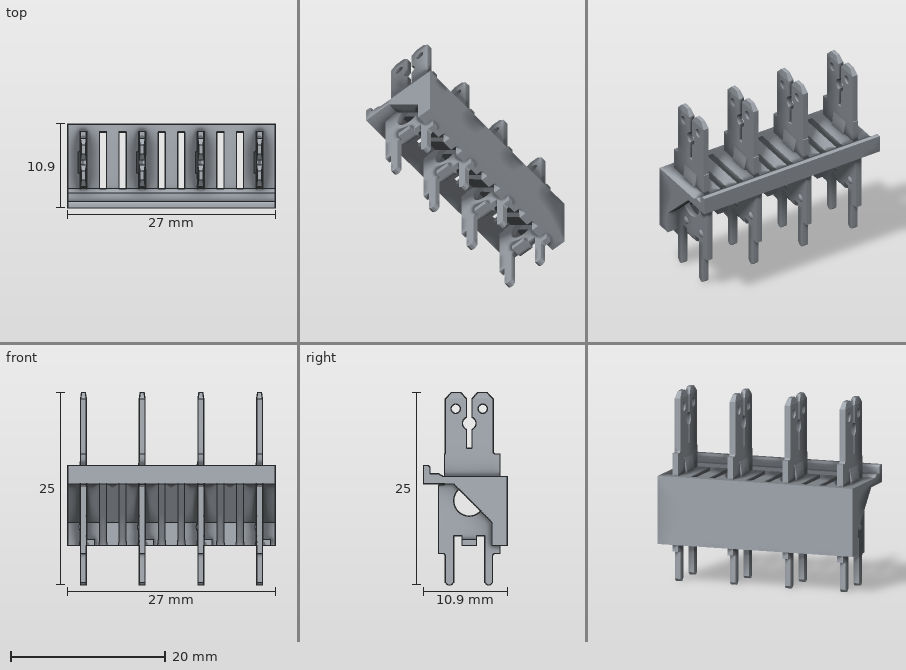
import cadquery as cq


length = 26.98
depth = 10.9
housing_top = 8.98
leg_front = 8.88
leg_top = 3.02
lip_bottom = 8.0
lip_top = 10.41
lip_thickness = 0.85
lip_corner_width = 0.45
lip_corner_height = 0.32
lip_arc_radius = 0.43
ramp_back = 3.89
step_top = 9.34
step_front = 1.95
step_back = 2.54

terminal_count = 4
slots_per_pitch = 3
row_span = 22.85
pitch = row_span / (terminal_count - 1)
slot_pitch = pitch / slots_per_pitch
slot_count = slots_per_pitch * (terminal_count - 1) + 1
slot_width = 0.9
slot_back = 9.95
slot_back_lean = 0.1
slot_mouth_width = 1.08
slot_mouth_height = 0.78

blade_thickness = 0.78
blade_middle = 5.94
blade_top = 19.88
prong_outer = 3.13
prong_gap = 0.67
prong_split_bottom = 12.65
tip_height = 0.85
tip_outer_setback = 0.84
tip_inner_setback = 0.75
tip_thickness = 0.5
keyhole_diameter = 1.73
keyhole_height = 15.86
eye_diameter = 1.2
eye_offset = 1.75
eye_height = 17.75
shoulder_top = 11.9
shoulder_back = slot_back
shoulder_front = 2.7
lower_front = 1.92
lower_top = 7.9
lower_chamfer = 0.15
lower_bottom = -1.05
corner_fillet = 0.27
window_diameter = 4.0
window_height = 5.83

tail_bottom = -5.13
tail_inner = 2.0
back_tail_outer = 3.05
tail_chamfer = 0.35
crotch_height = 1.25
tab_width = 1.9
tab_thickness = 0.78
tab_reach = 1.05

barb_top = 10.98
barb_bottom = 8.1
barb_top_width = 3.02
barb_width = 2.72
barb_rise = 0.32
dimple_diameter = 1.08
dimple_rise = 0.22
dimple_height = 2.4
dimple_places = (blade_middle + 1.08, blade_middle - 2.54)


def row(count, spacing):
    """X positions of evenly spaced items centred on X = 0."""
    return [(i - (count - 1) / 2) * spacing for i in range(count)]


def block(x_range, y_range, z_range):
    """Axis-aligned box between the given limits."""
    size = [high - low for low, high in (x_range, y_range, z_range)]
    corner = (x_range[0], y_range[0], z_range[0])
    return cq.Workplane("XY").box(*size, centered=False).translate(corner)


def side_plane(x):
    """Sketch plane facing +X, with Y across and Z up."""
    return cq.Workplane("YZ", origin=(x, 0, 0))


def slot(x):
    """Vertical slot with a sideways flared mouth below and a slightly leaning back wall."""
    half = slot_width / 2
    half_mouth = slot_mouth_width / 2
    opening = (
        cq.Workplane("XZ", origin=(x, slot_back, 0))
        .moveTo(-half_mouth, 0)
        .lineTo(half_mouth, 0)
        .lineTo(half, slot_mouth_height)
        .lineTo(half, housing_top)
        .lineTo(-half, housing_top)
        .lineTo(-half, slot_mouth_height)
        .close()
        .extrude(slot_back - step_back)
    )
    lean = (
        side_plane(x - half_mouth)
        .moveTo(slot_back, housing_top)
        .lineTo(slot_back, 0)
        .lineTo(slot_back - slot_back_lean, 0)
        .close()
        .extrude(slot_mouth_width)
    )
    return opening.cut(lean)


def make_housing():
    body = (
        side_plane(-length / 2)
        .moveTo(depth, 0)
        .lineTo(leg_front, 0)
        .lineTo(leg_front, leg_top)
        .lineTo(ramp_back, lip_bottom)
        .lineTo(0, lip_bottom)
        .lineTo(0, lip_top)
        .lineTo(lip_thickness - lip_corner_width, lip_top)
        .radiusArc((lip_thickness, lip_top - lip_corner_height), lip_arc_radius)
        .lineTo(lip_thickness, step_top)
        .lineTo(step_front, step_top)
        .lineTo(step_back, housing_top)
        .lineTo(depth, housing_top)
        .close()
        .extrude(length)
    )
    for x in row(slot_count, slot_pitch):
        body = body.cut(slot(x))
    return body


def prong_tip(y_inner, y_outer):
    """Pyramid-like tip; Y limits are signed distances from the blade middle."""
    side = 1 if y_outer > y_inner else -1
    top_inner = y_inner + side * tip_inner_setback
    top_outer = y_outer - side * tip_outer_setback
    base_width = abs(y_outer - y_inner)
    top_width = abs(top_outer - top_inner)
    base_middle = blade_middle + (y_inner + y_outer) / 2
    top_middle = blade_middle + (top_inner + top_outer) / 2
    return (
        cq.Workplane("XY", origin=(0, base_middle, blade_top - tip_height))
        .rect(blade_thickness, base_width)
        .workplane(offset=tip_height)
        .center(0, top_middle - base_middle)
        .rect(tip_thickness, top_width)
        .loft(ruled=True)
    )


def make_plate():
    """Flat blade outline with its prongs, openings and solder tails."""
    half = blade_thickness / 2
    thick = (-half, half)
    back = blade_middle + prong_outer
    front = blade_middle - prong_outer
    prong_top = blade_top - tip_height

    plate = block(thick, (front, back), (shoulder_top, prong_top))
    plate = plate.union(block(thick, (shoulder_front, shoulder_back), (lower_top, shoulder_top)))
    lower = block(thick, (lower_front, shoulder_back), (lower_bottom, lower_top))
    lower = lower.edges("|X and <Y and >Z").chamfer(lower_chamfer)
    plate = plate.union(lower)

    tail_limits = (
        (blade_middle + tail_inner, blade_middle + back_tail_outer),
        (front, blade_middle - tail_inner),
    )
    for limits in tail_limits:
        tail = block(thick, limits, (tail_bottom, crotch_height))
        plate = plate.union(tail.edges("|X and <Z").chamfer(tail_chamfer))

    crotch = (blade_middle - tail_inner, blade_middle + tail_inner)
    plate = plate.cut(block(thick, crotch, (tail_bottom, crotch_height)))

    reach = corner_fillet / 2
    for y, z in (
        (back, shoulder_top),
        (blade_middle + back_tail_outer, lower_bottom),
        (front, lower_bottom),
    ):
        corner = cq.selectors.BoxSelector((-half, y - reach, z - reach), (half, y + reach, z + reach))
        plate = plate.edges(corner).fillet(corner_fillet)

    half_gap = prong_gap / 2
    gap = (blade_middle - half_gap, blade_middle + half_gap)
    plate = plate.cut(block(thick, gap, (prong_split_bottom, blade_top)))
    for side in (-1, 1):
        plate = plate.union(prong_tip(side * half_gap, side * prong_outer))

    openings = (
        (blade_middle, keyhole_height, keyhole_diameter),
        (blade_middle, window_height, window_diameter),
        (blade_middle - eye_offset, eye_height, eye_diameter),
        (blade_middle + eye_offset, eye_height, eye_diameter),
    )
    for y, z, diameter in openings:
        plate = plate.cut(side_plane(-half).center(y, z).circle(diameter / 2).extrude(blade_thickness))
    return plate


def make_tab():
    """Tab hanging from the crotch, bent towards +X around a rounded outer corner."""
    half = blade_thickness / 2
    return (
        cq.Workplane("XZ", origin=(0, blade_middle + tab_width / 2, 0))
        .moveTo(-half, crotch_height)
        .lineTo(-half, tab_thickness)
        .radiusArc((tab_thickness - half, 0), -tab_thickness)
        .lineTo(half + tab_reach, 0)
        .lineTo(half + tab_reach, tab_thickness)
        .lineTo(half, tab_thickness)
        .lineTo(half, crotch_height)
        .close()
        .extrude(tab_width)
    )


def make_barb():
    """Wedge that grows out of the blade downwards and anchors it in the housing."""
    face = -blade_thickness / 2
    slope = barb_rise / (barb_top - housing_top)
    bottom_rise = slope * (barb_top - barb_bottom)
    wedge = (
        cq.Workplane("XZ", origin=(0, blade_middle + barb_top_width / 2, 0))
        .moveTo(face, barb_top)
        .lineTo(face, barb_bottom)
        .lineTo(face - bottom_rise, barb_bottom)
        .close()
        .extrude(barb_top_width)
    )
    half_top = barb_top_width / 2
    half_low = barb_width / 2
    outline = (
        side_plane(face - bottom_rise)
        .moveTo(blade_middle - half_top, barb_top)
        .lineTo(blade_middle + half_top, barb_top)
        .lineTo(blade_middle + half_low, housing_top)
        .lineTo(blade_middle + half_low, barb_bottom)
        .lineTo(blade_middle - half_low, barb_bottom)
        .lineTo(blade_middle - half_low, housing_top)
        .close()
        .extrude(bottom_rise)
    )
    return wedge.intersect(outline)


def make_dimple(y):
    """Shallow spherical cap on the -X face."""
    face = -blade_thickness / 2
    rim = dimple_diameter / 2
    radius = (rim**2 + dimple_rise**2) / (2 * dimple_rise)
    centre = (face - dimple_rise + radius, y, dimple_height)
    ball = cq.Workplane("XY").sphere(radius, direct=(1, 0, 0)).translate(centre)
    cap = side_plane(face - dimple_rise).center(y, dimple_height).circle(radius).extrude(dimple_rise)
    return ball.intersect(cap)


def make_terminal():
    terminal = make_plate().union(make_tab()).union(make_barb())
    for y in dimple_places:
        terminal = terminal.union(make_dimple(y))
    return terminal


result = make_housing()
terminal = make_terminal()
for x in row(terminal_count, pitch):
    result = result.union(terminal.translate((x, 0, 0)))